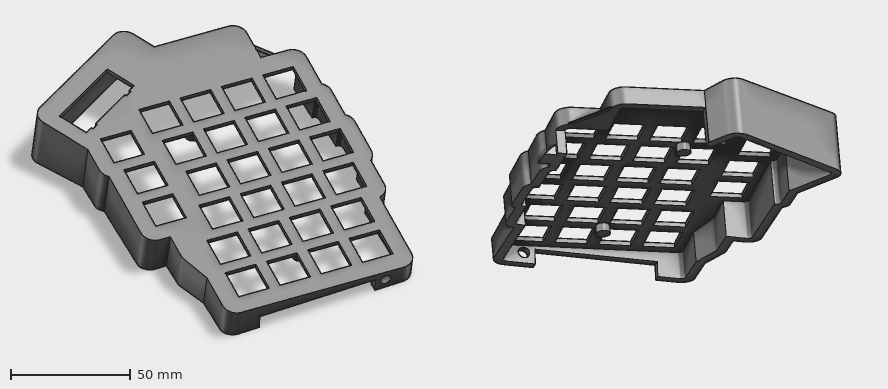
import cadquery as cq
import math


SIDE_TILT = 4.65
BACK_TILT = 3.5
YAW = -6.3
LIFT = 18.7
WALL_DROP = 50

CORNER_RADIUS = 6.0
MARGIN = 5.0
WALL = 4.0
PLATE = 2.0

PITCH = 19.0
HALF_PITCH = PITCH / 2
KEY_HOLE = 14.0
STAGGER = PITCH / 8
COLUMN_STEPS = [0, 1, 2, 1, -1, -1]
ROWS = 4
BOTTOM_KEY_Y = -76.5
BOTTOM_KEY_STEPS = [-1, 0, 0]

FIELD_LEFT = -11.2
FIELD_RIGHT = 105.4
FIELD_FRONT = -69.9
WAIST_FRONT = -75.2
WAIST_RAMP_START = 87.2
WAIST_RAMP_END = 73.4
BAY_LEFT = -31.7
BAY_BACK = -8.8

THUMB_CENTER = (-17.3, -78.9)
THUMB_ANGLE = 30
THUMB_LEFT = -11.2
THUMB_FRONT = -19.3
THUMB_BACK = 35.0
SLOT_WIDTH = 14.0
SLOT_LENGTH = 34.2
SLOT_NOTCH_DEPTH = 0.8
SLOT_NOTCH_LENGTH = 3.0
SLOT_NOTCH_OFFSET = 12.0

SKIRT = 8.0
OPENING_FRONT = -43.7
OPENING_RIGHT = -10.0
LEDGE = 0.5
LEDGE_LIP = 1.2
LEDGE_SLIT = 0.25

STANDOFF_RADIUS = 3.0
STANDOFF_LENGTH = 3.7

TAB_CENTER_X = -4.3
TAB_WIDTH = 10.0
TAB_TIP_Y = 18.5
TAB_ROOT_Y = 12.5
PORT_FRONT = -60.0
PORT_BACK = -7.0
PORT_HEIGHT = 7.0
JACK_DIAMETER = 4.8
JACK_Y = -2.2
JACK_HEIGHT = 5.0
SIDE_CUT_START = 100.0
SIDE_CUT_LENGTH = 16.7
TABLE_SIZE = 500.1

LEFT_EDGE = BAY_LEFT - MARGIN
BAY_EDGE = BAY_BACK + MARGIN
FIELD_EDGE = FIELD_LEFT - MARGIN
THUMB_SIN = math.sin(math.radians(THUMB_ANGLE))
THUMB_COS = math.cos(math.radians(THUMB_ANGLE))


def thumb_point(along, across):
    """Layout position of a point given in the thumb block's own axes."""
    x = THUMB_CENTER[0] + along * THUMB_COS - across * THUMB_SIN
    y = THUMB_CENTER[1] + along * THUMB_SIN + across * THUMB_COS
    return (x, y)


def thumb_front_at(y):
    """Point of the thumb block's front edge at a given layout y."""
    start = thumb_point(0, THUMB_FRONT)
    return thumb_point((y - start[1]) / THUMB_SIN, THUMB_FRONT)


def thumb_back_at(x):
    """Point of the thumb block's back edge at a given layout x."""
    start = thumb_point(0, THUMB_BACK)
    return thumb_point((x - start[0]) / THUMB_COS, THUMB_BACK)


def field_points():
    """Corners of the key field and thumb block, clockwise from the back left."""
    points = []
    last = len(COLUMN_STEPS) - 1
    for column, step in enumerate(COLUMN_STEPS):
        back = step * STAGGER + HALF_PITCH
        left = FIELD_LEFT if column == 0 else column * PITCH - HALF_PITCH
        right = FIELD_RIGHT if column == last else column * PITCH + HALF_PITCH
        if column == 0 or step != COLUMN_STEPS[column - 1]:
            points.append((left, back))
        if column == last or step != COLUMN_STEPS[column + 1]:
            points.append((right, back))
    bottom_keys_right = len(BOTTOM_KEY_STEPS) * PITCH
    bottom_keys_front = BOTTOM_KEY_Y - HALF_PITCH
    first_key_front = bottom_keys_front - STAGGER
    points += [
        (FIELD_RIGHT, FIELD_FRONT),
        (WAIST_RAMP_START, FIELD_FRONT),
        (WAIST_RAMP_END, WAIST_FRONT),
        (bottom_keys_right, WAIST_FRONT),
        (bottom_keys_right, bottom_keys_front),
        (PITCH, bottom_keys_front),
        (PITCH, first_key_front),
        thumb_front_at(first_key_front),
        thumb_point(THUMB_LEFT, THUMB_FRONT),
        thumb_point(THUMB_LEFT, THUMB_BACK),
        thumb_back_at(BAY_LEFT),
        (BAY_LEFT, BAY_BACK),
        (FIELD_LEFT, BAY_BACK),
    ]
    return points


def case_prism(inset, top, height):
    """Prism hanging from top, its sides set in from the outer walls, corners round."""
    field = cq.Workplane("XY").workplane(offset=top).polyline(field_points()).close()
    core = field.offset2D(MARGIN - CORNER_RADIUS, "intersection")
    return core.offset2D(CORNER_RADIUS - inset, "arc").extrude(-height)


def key_centers():
    """Centres of the staggered columns and of the keys in front of them."""
    centers = []
    for column, step in enumerate(COLUMN_STEPS):
        for row in range(ROWS):
            centers.append((column * PITCH, step * STAGGER - row * PITCH))
    for key, step in enumerate(BOTTOM_KEY_STEPS):
        centers.append(((key + 0.5) * PITCH, BOTTOM_KEY_Y + step * STAGGER))
    return centers


def key_holes():
    holes = cq.Workplane("XY").pushPoints(key_centers()).rect(KEY_HOLE, KEY_HOLE)
    return holes.extrude(-PLATE)


def thumb_slot():
    """Slot for a long key, with two clip notches along its inner side."""
    slot = cq.Workplane("XY").rect(SLOT_WIDTH, SLOT_LENGTH).extrude(-PLATE)
    notch_places = [(SLOT_WIDTH / 2, side * SLOT_NOTCH_OFFSET) for side in (-1, 1)]
    notches = cq.Workplane("XY").pushPoints(notch_places)
    notches = notches.rect(2 * SLOT_NOTCH_DEPTH, SLOT_NOTCH_LENGTH).extrude(-PLATE)
    slot = slot.union(notches).rotate((0, 0, 0), (0, 0, 1), THUMB_ANGLE)
    return slot.translate((THUMB_CENTER[0], THUMB_CENTER[1], 0))


def bay_opening():
    """Clears the walls of the bay below the skirt, through to the back left corner."""
    left = LEFT_EDGE - WALL
    back = HALF_PITCH + 2 * MARGIN
    size = (OPENING_RIGHT - left, back - OPENING_FRONT, WALL_DROP)
    corner = cq.Workplane("XY").box(*size, centered=False)
    return corner.translate((left, OPENING_FRONT, -SKIRT - WALL_DROP))


def corner_ledge():
    """Thin triangular ledge at the foot of the skirt, slit along its free edge."""
    bay_end = (BAY_LEFT - LEDGE_LIP, BAY_EDGE)
    field_end = (FIELD_EDGE, HALF_PITCH + LEDGE_LIP)
    inner = (FIELD_EDGE, BAY_EDGE)
    plane = cq.Workplane("XY").workplane(offset=-SKIRT)
    ledge = plane.polyline([bay_end, field_end, inner]).close().extrude(LEDGE)
    slit_start = BAY_LEFT + LEDGE_LIP
    slit_points = [
        (slit_start, BAY_EDGE),
        (FIELD_EDGE, HALF_PITCH - LEDGE_LIP),
        (slit_start + LEDGE_SLIT, BAY_EDGE),
    ]
    return ledge.cut(plane.polyline(slit_points).close().extrude(LEDGE))


def standoffs():
    """Round standoffs under the plate, where four key holes meet."""
    first = (HALF_PITCH, STAGGER / 2 - 2.5 * PITCH)
    second = (4.5 * PITCH, -STAGGER - 1.5 * PITCH)
    plane = cq.Workplane("XY").workplane(offset=-PLATE)
    return plane.pushPoints([first, second]).circle(STANDOFF_RADIUS).extrude(-STANDOFF_LENGTH)


def flat_case():
    """Case before tilting, with walls longer than needed."""
    case = case_prism(0, 0, WALL_DROP)
    case = case.cut(case_prism(WALL, -PLATE, WALL_DROP))
    case = case.cut(key_holes()).cut(thumb_slot()).cut(bay_opening())
    return case.union(corner_ledge()).union(standoffs())


def tilted(case):
    """Tilts and lifts the case, and cuts its walls level with the table."""
    case = case.rotate((0, 0, 0), (1, 0, 0), -BACK_TILT)
    case = case.rotate((0, 0, 0), (0, 1, 0), SIDE_TILT)
    case = case.translate((0, 0, LIFT))
    below = cq.Workplane("XY").box(TABLE_SIZE, TABLE_SIZE, WALL_DROP)
    below = below.translate((0, 0, -WALL_DROP / 2))
    return case.cut(below)


def back_tab():
    """Wedge-shaped foot behind the back wall, sloping at 45 degrees."""
    reach = TAB_TIP_Y - TAB_ROOT_Y
    profile = [(TAB_ROOT_Y, 0), (TAB_TIP_Y, 0), (TAB_ROOT_Y, reach)]
    wedge = cq.Workplane("YZ").polyline(profile).close().extrude(TAB_WIDTH)
    return wedge.translate((TAB_CENTER_X - TAB_WIDTH / 2, 0, 0))


def side_port():
    """Wide opening at the foot of the +X wall."""
    size = (SIDE_CUT_LENGTH, PORT_BACK - PORT_FRONT, PORT_HEIGHT)
    port = cq.Workplane("XY").box(*size, centered=False)
    return port.translate((SIDE_CUT_START, PORT_FRONT, 0))


def jack_hole():
    """Round hole through the +X wall."""
    plane = cq.Workplane("YZ").workplane(offset=SIDE_CUT_START)
    hole = plane.center(JACK_Y, JACK_HEIGHT).circle(JACK_DIAMETER / 2)
    return hole.extrude(SIDE_CUT_LENGTH)


case = tilted(flat_case()).union(back_tab()).cut(side_port()).cut(jack_hole())
result = case.rotate((0, 0, 0), (0, 0, 1), YAW)